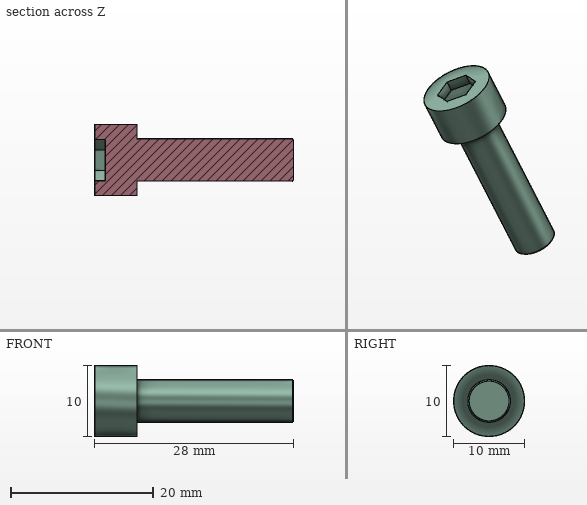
import cadquery as cq
import math

head_diameter = 10.0
head_length = 6.0
shank_diameter = 6.0
shank_length = 22.0
tip_chamfer = 0.2
socket_across_flats = 5.0
socket_depth = 1.5

total_length = head_length + shank_length
socket_across_corners = socket_across_flats / math.cos(math.pi / 6)


def make_head():
    return cq.Workplane("YZ").circle(head_diameter / 2).extrude(head_length)


def make_shank():
    """Plain round shank from the head face, chamfered at its free end."""
    shank = cq.Workplane("YZ").circle(shank_diameter / 2).extrude(total_length)
    return shank.faces(">X").chamfer(tip_chamfer)


def make_socket():
    """Hexagonal drive socket with corners pointing along +Y and -Y."""
    return cq.Workplane("YZ").polygon(6, socket_across_corners).extrude(socket_depth)


result = make_head().union(make_shank()).cut(make_socket())